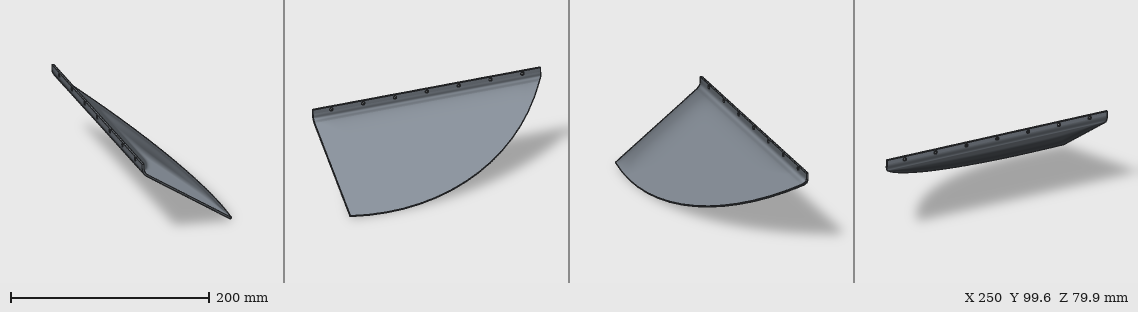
import cadquery as cq
import math

length = 250.0
thickness = 2.0
inner_bend_radius = 10.0
outer_bend_radius = inner_bend_radius + thickness
bend_angle = math.radians(55.0)
flange_height = 4.72

edge_radius = 243.5
edge_centre_x = 209.4
edge_centre_slope = -129.58

hole_diameter = 3.4
hole_count = 7
hole_pitch = 35.0
first_hole_x = 20.0
hole_depth_from_top = 3.0

slope_y = math.sin(bend_angle)
slope_z = -math.cos(bend_angle)
normal_y = -slope_z
normal_z = slope_y

bend_centre_y = outer_bend_radius
bend_centre_z = -flange_height

edge_peak_slope = edge_centre_slope + edge_radius


def bend_point(radius, angle):
    """Point (y, z) on the bend, at an angle turned down from the flange."""
    y = bend_centre_y - radius * math.cos(angle)
    z = bend_centre_z - radius * math.sin(angle)
    return (y, z)


def along_slope(point, distance):
    """Point (y, z) moved down the slope by a distance."""
    return (point[0] + distance * slope_y, point[1] + distance * slope_z)


def bent_sheet():
    """Full-length sheet: upright flange, rounded bend and sloping plate."""
    outer_tangent = bend_point(outer_bend_radius, bend_angle)
    inner_tangent = bend_point(inner_bend_radius, bend_angle)
    return (
        cq.Workplane("YZ")
        .moveTo(0, 0)
        .lineTo(0, -flange_height)
        .threePointArc(bend_point(outer_bend_radius, bend_angle / 2), outer_tangent)
        .lineTo(*along_slope(outer_tangent, edge_peak_slope))
        .lineTo(*along_slope(inner_tangent, edge_peak_slope))
        .lineTo(*inner_tangent)
        .threePointArc(bend_point(inner_bend_radius, bend_angle / 2), (thickness, -flange_height))
        .lineTo(thickness, 0)
        .close()
        .extrude(length)
    )


def edge_disc():
    """Disc square to the sloping plate; its rim is the curved edge."""
    inner_tangent = bend_point(inner_bend_radius, bend_angle)
    centre_y, centre_z = along_slope(inner_tangent, edge_centre_slope)
    plate_plane = cq.Plane(
        origin=(edge_centre_x, centre_y, centre_z),
        xDir=(1, 0, 0),
        normal=(0, normal_y, normal_z),
    )
    half_height = edge_radius
    return cq.Workplane(plate_plane).circle(edge_radius).extrude(half_height, both=True)


def mounting_holes():
    """Row of round holes through the flange."""
    centres = [(first_hole_x + i * hole_pitch, -hole_depth_from_top) for i in range(hole_count)]
    return (
        cq.Workplane("XZ")
        .pushPoints(centres)
        .circle(hole_diameter / 2)
        .extrude(-thickness)
    )


result = bent_sheet().intersect(edge_disc()).cut(mounting_holes())